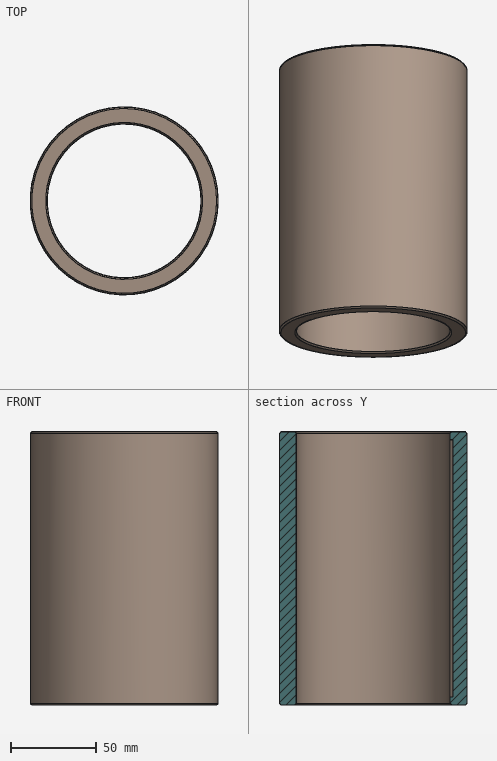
import cadquery as cq

length = 160.0
outer_diameter = 110.0
bore_diameter = 90.0
edge_chamfer = 1.0
groove_diameter = 3.2
groove_end_gap = 4.8

tube = (
    cq.Workplane("XY")
    .workplane(offset=-length / 2)
    .circle(outer_diameter / 2)
    .circle(bore_diameter / 2)
    .extrude(length)
)

tube = tube.faces("|Z").edges().chamfer(edge_chamfer)

groove_length = length - 2 * groove_end_gap
groove = (
    cq.Workplane("XY")
    .workplane(offset=-groove_length / 2)
    .center(bore_diameter / 2, 0)
    .circle(groove_diameter / 2)
    .extrude(groove_length)
)

result = tube.cut(groove)